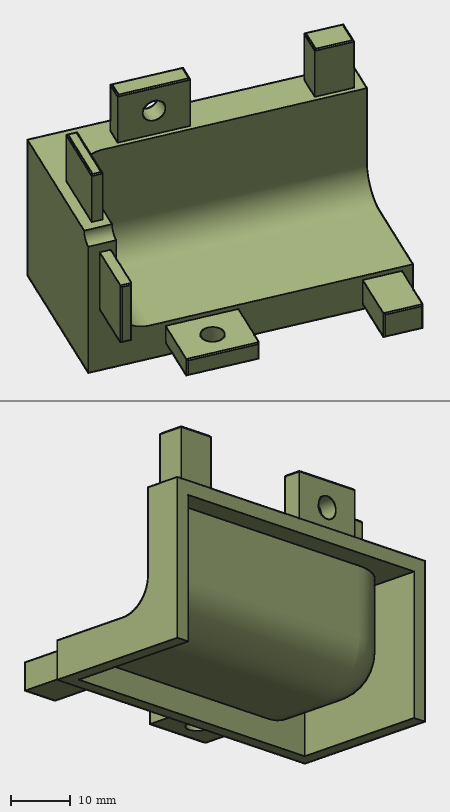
import cadquery as cq

length = 58.0
side = 28.6
tab_height = 9.9
wall = 2.55

scoop_edge = 7.0
scoop_front = 5.0
scoop_radius = 6.0

notch_radius = 2.0

front_tab = (12.9, 12.0, 2.05, 2.0)
middle_tab = (2.65, 3.5, 13.8, 13.0)
rear_tab = (1.1, 5.05, 49.0, 7.0)
tab_chamfer = 0.25
hole_diameter = 4.05


def box(x0, y0, z0, x1, y1, z1):
    """Box between two opposite corners."""
    return cq.Workplane("XY").box(x1 - x0, y1 - y0, z1 - z0, centered=False).translate((x0, y0, z0))


def scoop_block(offset):
    """Scoop volume grown outward by offset, with its three near edges rounded."""
    edge = scoop_edge - offset
    block = box(edge, scoop_front - offset, edge, 2 * side, 2 * length, 2 * side)
    near_edges = block.edges("<X and <Y")
    near_edges = near_edges.add(block.edges("<X and <Z"))
    near_edges = near_edges.add(block.edges("<Y and <Z"))
    return near_edges.fillet(scoop_radius + offset)


def top_tab(edge, width, start, span):
    """Tab standing on the top face, with a chamfered tip."""
    tab = box(edge, start, side - wall, edge + width, start + span, side + tab_height)
    return tab.faces(">Z").edges().chamfer(tab_chamfer)


def drilled_tab(edge, width, start, span):
    """Top tab with a centred hole through its thickness."""
    hole = (
        cq.Workplane("YZ", origin=(edge, start + span / 2, side + tab_height / 2))
        .circle(hole_diameter / 2)
        .extrude(width)
    )
    return top_tab(edge, width, start, span).cut(hole)


def mirror_x_z(shape):
    """Swap X and Z, carrying a top feature onto the +X face."""
    return shape.rotate((0, 0, 0), (0, 1, 0), 90).mirror("XY")


cavity = box(0, wall, 0, side - wall, length - wall, side - wall).cut(scoop_block(wall))
body = box(0, 0, 0, side, length, side).cut(cavity).cut(scoop_block(0))

notch = (
    cq.Workplane("XZ", origin=(side, 0, side))
    .circle(notch_radius)
    .extrude(-scoop_front)
)
body = body.cut(notch)

for tab in (top_tab(*front_tab), drilled_tab(*middle_tab), top_tab(*rear_tab)):
    body = body.union(tab)
    body = body.union(mirror_x_z(tab))

result = body